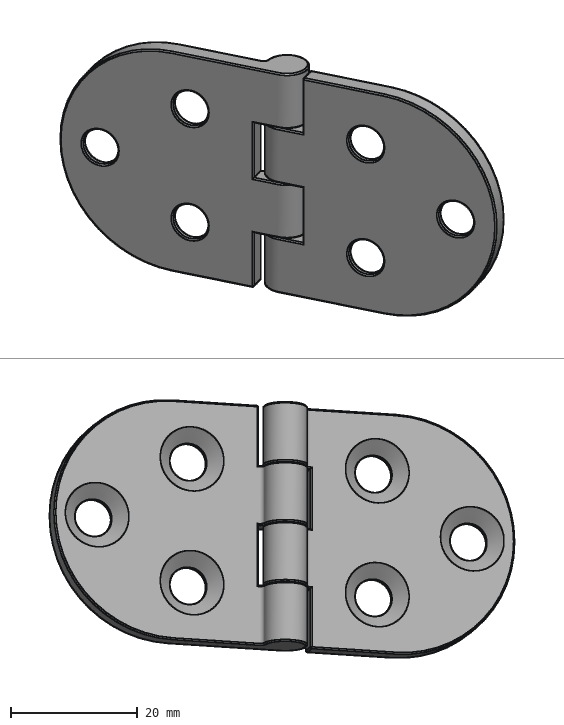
import cadquery as cq
import math

length = 75.4
width = 38.8
thickness = 3.2
barrel_dia = 7.0
knuckle_count = 4

crook_radius = 0.72
slot_edge = 4.2
edge_bevel = 0.25
hole_dia = 6.0
hole_land = 1.0
outer_hole_x = 30.7
inner_hole_x = 15.15
inner_hole_z = 10.0

half_length = length / 2
half_width = width / 2
barrel_radius = barrel_dia / 2
knuckle_width = width / knuckle_count
crook_y = thickness + crook_radius
crook_x = math.sqrt((barrel_radius + crook_radius) ** 2 - (crook_y - barrel_radius) ** 2)


def around(centre_x, centre_y, radius, angle):
    """Point on a circle at the given angle, counted from +X toward +Y."""
    return (centre_x + radius * math.cos(angle), centre_y + radius * math.sin(angle))


def plate():
    """Flat half-stadium of the left leaf, ending at the slot wall."""
    arc_x = half_width - half_length
    return (
        cq.Workplane("XZ")
        .moveTo(-slot_edge, -half_width)
        .lineTo(arc_x, -half_width)
        .threePointArc((-half_length, 0), (arc_x, half_width))
        .lineTo(-slot_edge, half_width)
        .close()
        .extrude(-thickness)
    )


def knuckle(bottom_z):
    """One knuckle: a strip of leaf that ends in the solid barrel, with a filleted crook."""
    root_x = -crook_x - crook_radius
    meet_angle = math.atan2(barrel_radius - crook_y, crook_x)
    barrel_end_angle = meet_angle + math.pi
    fillet_mid_angle = (meet_angle - math.pi / 2) / 2
    barrel_mid_angle = (math.pi / 2 + barrel_end_angle) / 2
    return (
        cq.Workplane("XY")
        .workplane(offset=bottom_z)
        .moveTo(root_x, 0)
        .lineTo(0, 0)
        .threePointArc((barrel_radius, barrel_radius), (0, barrel_dia))
        .threePointArc(
            around(0, barrel_radius, barrel_radius, barrel_mid_angle),
            around(0, barrel_radius, barrel_radius, barrel_end_angle),
        )
        .threePointArc(
            around(-crook_x, crook_y, crook_radius, fillet_mid_angle),
            (-crook_x, thickness),
        )
        .lineTo(root_x, thickness)
        .close()
        .extrude(knuckle_width)
    )


def screw_hole(x, z):
    """Cutter for a screw hole: bevelled at the front, countersunk at 90 degrees from the back."""
    hole_radius = hole_dia / 2
    sink_radius = hole_radius + thickness - hole_land
    return (
        cq.Workplane("XY")
        .lineTo(hole_radius + edge_bevel, 0)
        .lineTo(hole_radius, edge_bevel)
        .lineTo(hole_radius, hole_land)
        .lineTo(sink_radius, thickness)
        .lineTo(0, thickness)
        .close()
        .revolve(360, (0, 0, 0), (0, 1, 0))
        .translate((x, 0, z))
    )


def on_slot_wall(edge):
    return math.isclose(edge.Center().x, -slot_edge)


def on_slot_corner(edge):
    return on_slot_wall(edge) and math.isclose(edge.Center().z, -half_width)


def bevelled(body):
    """Bevel the rims of the leaf and its knuckles, and the corner where a slot meets the outline."""
    rims = body.edges("not(|Y or |Z)")
    slot_rims = body.edges("|Z").filter(on_slot_wall)
    slot_corner = body.edges("|Y").filter(on_slot_corner)
    return rims.add(slot_rims).add(slot_corner).chamfer(edge_bevel)


def leaf():
    """Left leaf: alternate knuckles start at the top, leaving slots for those of its mate."""
    body = plate()
    for place in range(0, knuckle_count, 2):
        body = body.union(knuckle(half_width - (place + 1) * knuckle_width))
    body = bevelled(body.clean())
    hole_centres = [(-outer_hole_x, 0), (-inner_hole_x, inner_hole_z), (-inner_hole_x, -inner_hole_z)]
    for x, z in hole_centres:
        body = body.cut(screw_hole(x, z))
    return body.solids()


left_leaf = leaf()
right_leaf = left_leaf.rotate((0, 0, 0), (0, 1, 0), 180)

result = cq.Compound.makeCompound([left_leaf.val(), right_leaf.val()])